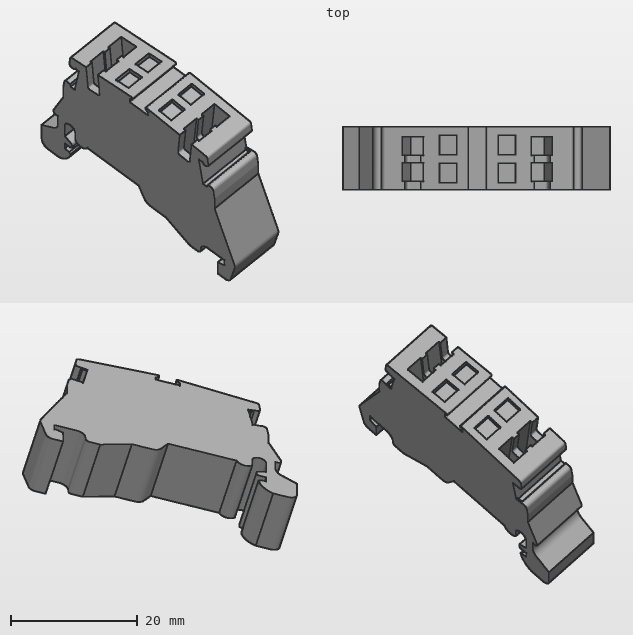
import cadquery as cq
import math

WIDTH = 10.0
HEIGHT = 27.92
MID_X = 21.25

ROOF_TILT = math.radians(5)
GROOVE_HALF_WIDTH = 2.0
GROOVE_MOUTH_HALF_WIDTH = 1.42
GROOVE_FLOOR_Z = 26.35
LIP_ROOT_Z, LIP_TIP_Z = 27.0, 27.45
LIP_ROUND = 0.25
EAVE_TOP = 14.97
EAVE_BOTTOM = (15.25, 24.35)
EAVE_TOP_ROUND = 0.5
EAVE_BOTTOM_ROUND = 0.6

SCREW_INNER, SCREW_OUTER = 8.52, 11.84
SCREW_DEPTH = 15.0
SCREW_SPANS_Y = ((1.35, 4.28), (5.44, 8.38))
CHANNEL_INNER, CHANNEL_OUTER = 8.95, 11.5
CHANNEL_DEPTH = 4.9
CHANNEL_ROUND = 0.4
TEST_INNER, TEST_OUTER = 3.3, 6.05
TEST_DEPTH = 0.8
TEST_SPANS_Y = ((1.1, 4.2), (5.55, 8.65))
CLEARANCE = 1.0

SIDE_TILT = math.radians(10)
RECESS_TOP = (13.1, 24.6)
RECESS_BOTTOM_Z = 19.4
UNDERCUT_TOP = ((14.22, 24.33), (13.87, 24.7))
UNDERCUT_BOTTOM = ((14.88, 19.47), (15.02, 19.97))
WEB_THICKNESS = 0.25
WEB_TOP_Z = 24.1
WEB_BOTTOM_Z = 19.8

SHOULDER = 16.55
SHOULDER_Z = 17.85
SHOULDER_PEAK = (16.2, 20.2)
SHOULDER_ROUND = 0.7
FLANK_FOOT_Z = 15.44
NOTCH_Z = 4.44
BELLY_Z = 7.37
PAD_Z = 1.9

STEM_OUTER_X = 3.6
STEM_INNER_X = 5.1
STEM_BEND_Z = 6.8
STEM_BEND_ROUND = 1.95
STOP_X = 2.27
STOP_Z = 9.9
STOP_ROUND = 0.6
SLIT_RADIUS = 1.13
SLIT_SPRING_Z = 8.8
SLIT_RIGHT_X = STEM_INNER_X + 2 * SLIT_RADIUS
LOBE_LEFT_Z = 7.2
LOBE_LOW = (8.66, 6.46)
LOBE_RIGHT_X = 9.96
NOSE_X = 6.67
NOSE_ROOT_Z = 6.24
NOSE_TIP_Z = 5.5
NOSE_UPPER_ROUND, NOSE_LOWER_ROUND = 0.5, 0.45
JAW_ROOT_Z = 3.25
JAW_EDGE = (6.05, 3.1)
JAW_TIP = (6.36, 2.83)
SOLE_CURVE = (5.4, 0.95)
SOLE_END_X = 3.95
TOE_Z = 4.82
TOE_ROUND = 1.5

HEEL = (42.28, 4.8)
HEEL_ROUND = 1.5
HOOK_BOTTOM_X = 41.05
HOOK_BOTTOM_ROUND = 1.2
HOOK_TIP = (38.45, 2.75)
HOOK_SLOT_X = 39.87
PAD_RIGHT_X = 34.77
PAD_LEFT_X = 32.35
PAD_ROUND = 0.7
HOOK_THROAT_ROUND = 1.5
RAMP_TOP_X = 27.15
STEP_LOW_X, STEP_HIGH_X = 22.85, 21.2
STEP_ROUND = 1.7


def corner(x, z, radius=0.0):
    """Outline vertex, rounded when a radius is given."""
    return (x, z, radius)


def bulge(x, z):
    """Point that an arc between the neighbouring vertices passes through."""
    return (x, z, None)


def roof_z(distance):
    """Roof height at a distance from the symmetry plane."""
    return HEIGHT - (distance - GROOVE_MOUTH_HALF_WIDTH) * math.tan(ROOF_TILT)


def recess_wall(z):
    """Point of the sloping recess wall at a given height."""
    top_distance, top_z = RECESS_TOP
    return (top_distance + (top_z - z) * math.tan(SIDE_TILT), z)


def rounding(before, vertex, after):
    """Start, middle and end of the arc that rounds a vertex."""
    here = cq.Vector(vertex[0], vertex[1])
    back = (cq.Vector(before[0], before[1]) - here).normalized()
    ahead = (cq.Vector(after[0], after[1]) - here).normalized()
    half_angle = back.getAngle(ahead) / 2
    radius = vertex[2]
    tangent = radius / math.tan(half_angle)
    reach = radius / math.sin(half_angle) - radius
    middle = here + (back + ahead).normalized() * reach
    arc = (here + back * tangent, middle, here + ahead * tangent)
    return [(point.x, point.y) for point in arc]


def extrude_outline(vertices, y_start, y_end):
    """Extrude an XZ outline, which starts at a sharp vertex, between two Y positions."""
    start_x, start_z, _ = vertices[0]
    path = cq.Workplane("XZ", origin=(0, y_start, 0)).moveTo(start_x, start_z)
    via = None
    for index in range(1, len(vertices)):
        vertex = vertices[index]
        place = vertex[:2]
        if vertex[2] is None:
            via = place
        elif via is not None:
            path = path.threePointArc(via, place)
            via = None
        elif vertex[2] > 0:
            following = vertices[(index + 1) % len(vertices)]
            first, middle, last = rounding(vertices[index - 1], vertex, following)
            path = path.lineTo(*first).threePointArc(middle, last)
        else:
            path = path.lineTo(*place)
    return path.close().extrude(y_start - y_end)


def on_side(side, vertices):
    """Place (distance, Z, radius) vertices on the left (-1) or right (+1) half."""
    return [(MID_X + side * distance, z, radius) for distance, z, radius in vertices]


def housing_half():
    """Upper housing outline from the marker groove outwards to the foot of the flank."""
    return [
        corner(GROOVE_HALF_WIDTH, GROOVE_FLOOR_Z),
        corner(GROOVE_HALF_WIDTH, LIP_ROOT_Z),
        corner(GROOVE_MOUTH_HALF_WIDTH, LIP_TIP_Z),
        corner(GROOVE_MOUTH_HALF_WIDTH, roof_z(GROOVE_MOUTH_HALF_WIDTH), LIP_ROUND),
        corner(EAVE_TOP, roof_z(EAVE_TOP), EAVE_TOP_ROUND),
        corner(*EAVE_BOTTOM, EAVE_BOTTOM_ROUND),
        corner(*UNDERCUT_TOP[0]),
        corner(*UNDERCUT_TOP[1]),
        corner(*RECESS_TOP),
        corner(*recess_wall(RECESS_BOTTOM_Z)),
        corner(*UNDERCUT_BOTTOM[0]),
        corner(*UNDERCUT_BOTTOM[1]),
        corner(*SHOULDER_PEAK, SHOULDER_ROUND),
        corner(SHOULDER, SHOULDER_Z),
        corner(SHOULDER, FLANK_FOOT_Z),
    ]


def fixed_foot():
    """Rigid hook at the +X end, followed down and back to the flat underside."""
    return [
        corner(*HEEL, HEEL_ROUND),
        corner(HOOK_BOTTOM_X, 0, HOOK_BOTTOM_ROUND),
        corner(HOOK_TIP[0], 0),
        corner(*HOOK_TIP),
        corner(HOOK_SLOT_X, JAW_ROOT_Z),
        corner(HOOK_SLOT_X, NOTCH_Z),
        corner(PAD_RIGHT_X, NOTCH_Z, HOOK_THROAT_ROUND),
        corner(PAD_RIGHT_X, PAD_Z, PAD_ROUND),
        corner(PAD_LEFT_X, PAD_Z),
        corner(RAMP_TOP_X, NOTCH_Z),
        corner(STEP_LOW_X, NOTCH_Z, STEP_ROUND),
        corner(STEP_HIGH_X, BELLY_Z),
    ]


def flexible_foot():
    """Sprung foot at the -X end: rounded lobe, relief slit, latch nose, stem and stop."""
    return [
        corner(LOBE_RIGHT_X, BELLY_Z),
        bulge(*LOBE_LOW),
        corner(SLIT_RIGHT_X, LOBE_LEFT_Z),
        corner(SLIT_RIGHT_X, SLIT_SPRING_Z),
        bulge(STEM_INNER_X + SLIT_RADIUS, SLIT_SPRING_Z + SLIT_RADIUS),
        corner(STEM_INNER_X, SLIT_SPRING_Z),
        corner(STEM_INNER_X, NOSE_ROOT_Z),
        corner(NOSE_X, NOSE_TIP_Z, NOSE_UPPER_ROUND),
        corner(NOSE_X, NOTCH_Z, NOSE_LOWER_ROUND),
        corner(STEM_INNER_X, NOTCH_Z),
        corner(STEM_INNER_X, JAW_ROOT_Z),
        corner(*JAW_EDGE),
        corner(*JAW_TIP),
        bulge(*SOLE_CURVE),
        corner(SOLE_END_X, 0),
        corner(0, 0, TOE_ROUND),
        corner(0, TOE_Z),
        corner(STEM_OUTER_X, STEM_BEND_Z, STEM_BEND_ROUND),
        corner(STEM_OUTER_X, STOP_Z),
        corner(STOP_X, STOP_Z, STOP_ROUND),
    ]


def build_body():
    """Constant-section body across the full width."""
    right_half = on_side(1, housing_half())
    left_half = on_side(-1, housing_half())
    outline = right_half + fixed_foot() + flexible_foot() + left_half[::-1]
    return extrude_outline(outline, 0, WIDTH)


def recess_webs(side):
    """Thin webs at the +Y face that fill the two undercuts of a side recess."""
    upper = [
        corner(*RECESS_TOP),
        corner(*UNDERCUT_TOP[1]),
        corner(*UNDERCUT_TOP[0]),
        corner(*recess_wall(WEB_TOP_Z)),
    ]
    lower = [
        corner(*recess_wall(RECESS_BOTTOM_Z)),
        corner(*UNDERCUT_BOTTOM[0]),
        corner(*UNDERCUT_BOTTOM[1]),
        corner(*recess_wall(WEB_BOTTOM_Z)),
    ]
    inner_y = WIDTH - WEB_THICKNESS
    upper_web = extrude_outline(on_side(side, upper), inner_y, WIDTH)
    lower_web = extrude_outline(on_side(side, lower), inner_y, WIDTH)
    return upper_web.union(lower_web)


def roof_cutter(side, inner, outer, depth, span_y, bottom_round=0.0):
    """Slot cutter square to the roof flank, opening between two distances."""
    def along(distance, travel):
        lean = travel * math.sin(ROOF_TILT)
        drop = travel * math.cos(ROOF_TILT)
        return (distance - lean, roof_z(distance) - drop)

    profile = [
        corner(*along(inner, -CLEARANCE)),
        corner(*along(inner, depth), bottom_round),
        corner(*along(outer, depth), bottom_round),
        corner(*along(outer, -CLEARANCE)),
    ]
    return extrude_outline(on_side(side, profile), *span_y)


def cut_roof_openings(body, side):
    """Screw shafts, the driver channel that links them and the test openings."""
    for span in SCREW_SPANS_Y:
        body = body.cut(roof_cutter(side, SCREW_INNER, SCREW_OUTER, SCREW_DEPTH, span))
    for span in TEST_SPANS_Y:
        body = body.cut(roof_cutter(side, TEST_INNER, TEST_OUTER, TEST_DEPTH, span))
    channel_span = (0, SCREW_SPANS_Y[1][0])
    channel = roof_cutter(side, CHANNEL_INNER, CHANNEL_OUTER, CHANNEL_DEPTH, channel_span, CHANNEL_ROUND)
    return body.cut(channel)


result = build_body()
for half in (-1, 1):
    result = result.union(recess_webs(half))
    result = cut_roof_openings(result, half)